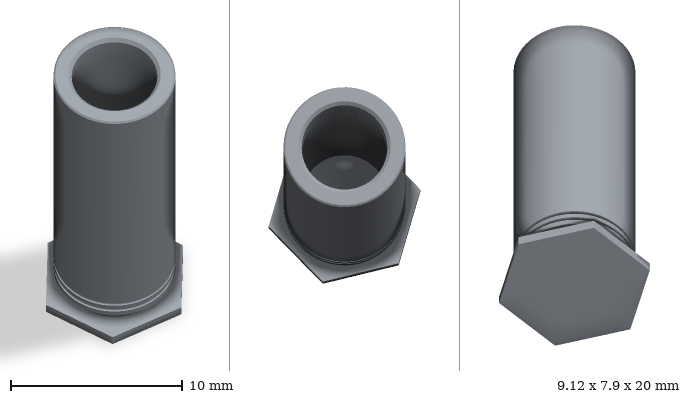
import cadquery as cq
import math

total_height = 20.0
body_diameter = 7.12
rim_chamfer = 0.1

hex_across_flats = 7.9
hex_across_corners = hex_across_flats / math.cos(math.radians(30))
hex_thickness = 0.65

neck_diameter = 6.1
neck_top = 1.45

groove_diameter = 6.62
groove_width = 0.25
groove_bottoms = (1.82, 2.38)

bore_diameter = 5.0
bore_mouth_diameter = 5.4
bore_depth = 16.0
drill_point_angle = 118.0


def make_head():
    """Hexagon with corners on the X axis."""
    return cq.Workplane("XY").polygon(6, hex_across_corners).extrude(hex_thickness)


def make_barrel():
    """Neck and body, with the outer top edge chamfered."""
    neck = (
        cq.Workplane("XY")
        .workplane(offset=hex_thickness)
        .circle(neck_diameter / 2)
        .extrude(neck_top - hex_thickness)
    )
    body = (
        cq.Workplane("XY")
        .workplane(offset=neck_top)
        .circle(body_diameter / 2)
        .extrude(total_height - neck_top)
        .faces(">Z")
        .edges()
        .chamfer(rim_chamfer)
    )
    return neck.union(body)


def make_groove(bottom):
    """Ring of material to remove from the body."""
    return (
        cq.Workplane("XY")
        .workplane(offset=bottom)
        .circle(body_diameter / 2)
        .circle(groove_diameter / 2)
        .extrude(groove_width)
    )


def make_bore():
    """Revolved bore: conical bottom, straight wall and 45 degree mouth."""
    bore_radius = bore_diameter / 2
    mouth_radius = bore_mouth_diameter / 2
    mouth_depth = mouth_radius - bore_radius
    wall_bottom = total_height - bore_depth
    point_height = bore_radius / math.tan(math.radians(drill_point_angle / 2))
    return (
        cq.Workplane("XZ")
        .moveTo(0, wall_bottom - point_height)
        .lineTo(bore_radius, wall_bottom)
        .lineTo(bore_radius, total_height - mouth_depth)
        .lineTo(mouth_radius, total_height)
        .lineTo(0, total_height)
        .close()
        .revolve(360, (0, 0, 0), (0, 1, 0))
    )


result = make_head().union(make_barrel())
for groove_bottom in groove_bottoms:
    result = result.cut(make_groove(groove_bottom))
result = result.cut(make_bore())